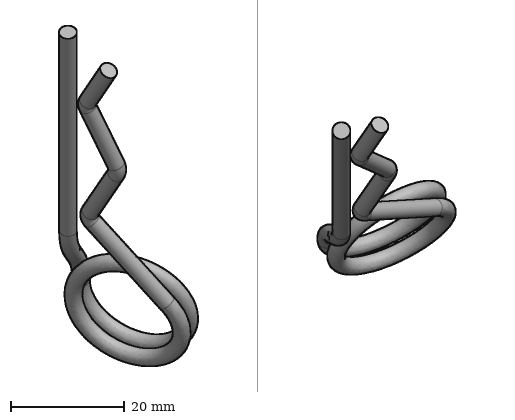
import cadquery as cq
import math

total_height = 82.2
wire_dia = 3.2
coil_radius = 10.6
coil_x = 10.8
coil_depth = 6.0
coil_path_points = 80
leg_start_z = 18.8

low_bend = (3.7, 23.8)
middle_bend = (9.6, 38.0)
high_bend = (3.45, 52.8)
arm_tip = (7.7, 63.0)
sharp_bend_radius = 2.05
wide_bend_radius = 3.3

leg_top_z = total_height - coil_radius - wire_dia / 2

bend_dx = low_bend[0] - coil_x
bend_dz = low_bend[1]
bend_distance = math.hypot(bend_dx, bend_dz)
coil_start = math.atan2(bend_dz, bend_dx) - math.acos(coil_radius / bend_distance)
coil_end = -3 * math.pi


def coil_point(t):
    """Point on the coil centerline, for t from 0 (arm) to 1 (leg)."""
    angle = coil_start + t * (coil_end - coil_start)
    x = coil_x + coil_radius * math.cos(angle)
    z = coil_radius * math.sin(angle)
    return (x, t * coil_depth, z)


def wire_section(origin, normal):
    plane = cq.Plane(origin=origin, xDir=(0, 1, 0), normal=normal)
    return cq.Workplane(plane).circle(wire_dia / 2)


def step_toward(start, target, distance):
    fraction = distance / math.dist(start, target)
    return tuple(a + fraction * (b - a) for a, b in zip(start, target))


def add_bend(path, before, corner, after, radius):
    """Extend the path to a corner and round it with a tangent arc."""
    angle_in = math.atan2(corner[1] - before[1], corner[0] - before[0])
    angle_out = math.atan2(after[1] - corner[1], after[0] - corner[0])
    half_turn = abs(angle_out - angle_in) / 2
    setback = radius * math.tan(half_turn)
    arc_start = step_toward(corner, before, setback)
    arc_end = step_toward(corner, after, setback)
    chord_middle = step_toward(arc_start, arc_end, math.dist(arc_start, arc_end) / 2)
    arc_depth = radius * (1 - math.cos(half_turn))
    arc_middle = step_toward(chord_middle, corner, arc_depth)
    return path.lineTo(*arc_start).threePointArc(arc_middle, arc_end)


def make_arm():
    x, y, z = coil_point(0)
    corners = [(x, z), low_bend, middle_bend, high_bend, arm_tip]
    radii = [sharp_bend_radius, wide_bend_radius, sharp_bend_radius]
    path = cq.Workplane("XZ").moveTo(x, z)
    for i, radius in enumerate(radii):
        path = add_bend(path, *corners[i:i + 3], radius)
    path = path.lineTo(*arm_tip)
    tangent = (-math.sin(coil_start), 0, math.cos(coil_start))
    return wire_section((x, y, z), tangent).sweep(path)


def make_coil():
    path = cq.Workplane("XY").parametricCurve(coil_point, N=coil_path_points)
    tangent = (math.sin(coil_start), 0, -math.cos(coil_start))
    return wire_section(coil_point(0), tangent).sweep(path, isFrenet=True)


def make_offset():
    """S-curve that carries the wire from the back of the coil to the leg."""
    start = coil_point(1)
    end = (0, 0, leg_start_z)
    up = (0, 0, 1)
    path = cq.Workplane("XY").spline([start, end], tangents=[up, up])
    return wire_section(start, up).sweep(path)


def make_leg():
    length = leg_top_z - leg_start_z
    return wire_section((0, 0, leg_start_z), (0, 0, 1)).extrude(length)


joint_tolerance = 0.001
result = make_arm()
for piece in (make_coil(), make_offset(), make_leg()):
    result = result.union(piece, tol=joint_tolerance)